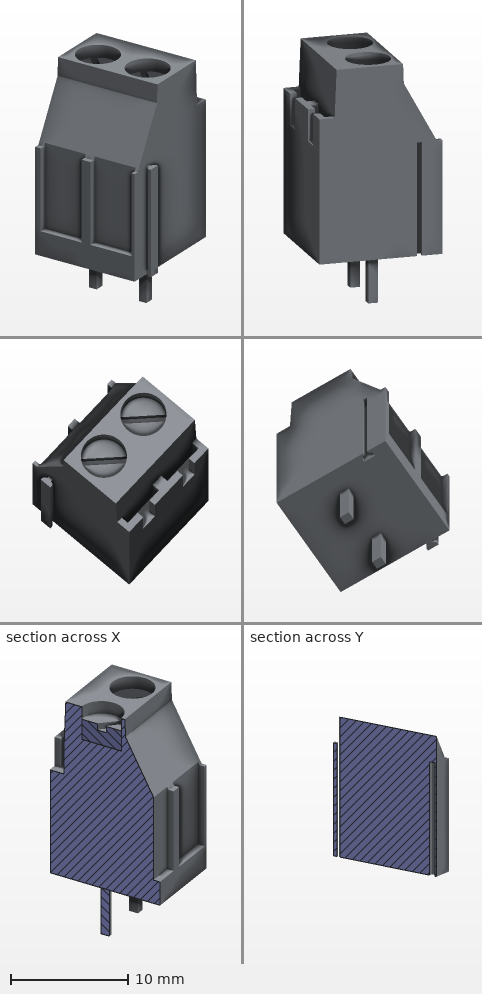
import cadquery as cq


POLE_COUNT = 2
PITCH = 5.08
POLE_CENTRES = [PITCH * (pole + 0.5) for pole in range(POLE_COUNT)]

TOTAL_WIDTH = 10.8
TOTAL_HEIGHT = 21.6
PIN_LENGTH = 4.47
HOUSING_WIDTH = POLE_COUNT * PITCH
HOUSING_DEPTH = 11.0
HOUSING_HEIGHT = TOTAL_HEIGHT - PIN_LENGTH

SHOULDER_DEPTH = 0.5
SHOULDER_Z = 10.07
SLOPE_TOP_Y = 3.45
SLOPE_TOP_Z = 15.4
TOP_FRONT_Y = 3.52
TOP_BACK_Y = 9.45
WALL_FOOT_Y = 9.63
LEDGE_Z = 12.87

RECESS_WIDTH = 4.2
RECESS_LEFT_MARGIN = 0.56
RECESS_DEPTH = 0.65
RECESS_FLOOR_Z = 2.31

POCKET_NECK_WIDTH = 1.5
POCKET_NECK_DEPTH = 0.63
POCKET_WIDE_WIDTH = 3.97
POCKET_FLOOR_Z = SHOULDER_Z

RIB_Y = 2.05
RIB_PROJECTION = TOTAL_WIDTH - HOUSING_WIDTH
GROOVE_DEPTH = 0.71
RIB_NECK_WIDTH = 0.43
RIB_NECK_LENGTH = 0.22
RIB_HEAD_WIDTH = 1.08
RIB_HEAD_RADIUS = 0.28

SCREW_Y = 5.85
SCREW_DIAMETER = 3.93
SCREW_SINK = 1.2
SCREW_HEIGHT = 1.95
SCREW_TOP_Z = HOUSING_HEIGHT - SCREW_SINK
SCREW_BOTTOM_Z = SCREW_TOP_Z - SCREW_HEIGHT
SLOT_WIDTH = 0.6
SLOT_DEPTH = 0.6
SLOT_ANGLE = -45.0

PIN_Y = 5.5
PIN_WIDTH = 0.78
PIN_DEPTH = 0.89


def block(x_min, x_max, y_min, y_max, z_min, z_max):
    """Box given by its limits along each axis."""
    size = (x_max - x_min, y_max - y_min, z_max - z_min)
    return cq.Workplane("XY").box(*size, centered=False).translate((x_min, y_min, z_min))


def housing_body():
    """Side profile extruded over the full width."""
    profile = [
        (0, 0),
        (HOUSING_DEPTH, 0),
        (HOUSING_DEPTH, LEDGE_Z),
        (WALL_FOOT_Y, LEDGE_Z),
        (TOP_BACK_Y, HOUSING_HEIGHT),
        (TOP_FRONT_Y, HOUSING_HEIGHT),
        (SLOPE_TOP_Y, SLOPE_TOP_Z),
        (SHOULDER_DEPTH, SHOULDER_Z),
        (0, SHOULDER_Z),
    ]
    return cq.Workplane("YZ").polyline(profile).close().extrude(HOUSING_WIDTH)


def interlock_bar(root_x, length):
    """Mushroom-shaped bar running up from the underside, reaching in +X from root_x."""
    head_x = root_x + RIB_NECK_LENGTH
    tip_x = root_x + length
    half_neck = RIB_NECK_WIDTH / 2
    half_head = RIB_HEAD_WIDTH / 2
    neck = block(root_x, head_x, RIB_Y - half_neck, RIB_Y + half_neck, 0, SHOULDER_Z)
    head = block(head_x, tip_x, RIB_Y - half_head, RIB_Y + half_head, 0, SHOULDER_Z)
    head = head.edges("|Z and <X").fillet(RIB_HEAD_RADIUS)
    return neck.union(head)


def wire_recess(pole):
    """Recess of one pole, open to the front and up through the slope."""
    left = RECESS_LEFT_MARGIN + pole * PITCH
    return block(left, left + RECESS_WIDTH, 0, RECESS_DEPTH, RECESS_FLOOR_Z, HOUSING_HEIGHT)


def ledge_pocket(centre_x):
    """T-shaped pocket whose neck opens through the back face."""
    half_neck = POCKET_NECK_WIDTH / 2
    half_wide = POCKET_WIDE_WIDTH / 2
    step_y = HOUSING_DEPTH - POCKET_NECK_DEPTH
    neck = block(centre_x - half_neck, centre_x + half_neck, step_y, HOUSING_DEPTH, POCKET_FLOOR_Z, LEDGE_Z)
    wide = block(centre_x - half_wide, centre_x + half_wide, WALL_FOOT_Y, step_y, POCKET_FLOOR_Z, LEDGE_Z)
    return neck.union(wide)


def screw_cylinder(centre_x, top_z):
    """Cylinder on a screw axis, from the screw's underside up to top_z."""
    base = cq.Workplane("XY", origin=(centre_x, SCREW_Y, SCREW_BOTTOM_Z))
    return base.circle(SCREW_DIAMETER / 2).extrude(top_z - SCREW_BOTTOM_Z)


def make_housing():
    """Housing with its rib, groove, recesses, pockets and screw holes."""
    body = housing_body()
    body = body.union(interlock_bar(HOUSING_WIDTH, RIB_PROJECTION))
    body = body.cut(interlock_bar(0, GROOVE_DEPTH))
    for pole, centre_x in enumerate(POLE_CENTRES):
        body = body.cut(wire_recess(pole))
        body = body.cut(ledge_pocket(centre_x))
        body = body.cut(screw_cylinder(centre_x, HOUSING_HEIGHT))
    return body


def make_screw(centre_x):
    """Slotted screw filling the lower part of its hole."""
    slot = (
        cq.Workplane("XY")
        .box(2 * SCREW_DIAMETER, SLOT_WIDTH, SLOT_DEPTH, centered=(True, True, False))
        .rotate((0, 0, 0), (0, 0, 1), SLOT_ANGLE)
        .translate((centre_x, SCREW_Y, SCREW_TOP_Z - SLOT_DEPTH))
    )
    return screw_cylinder(centre_x, SCREW_TOP_Z).cut(slot)


def make_pin(centre_x):
    """Rectangular solder pin hanging from the housing underside."""
    base = cq.Workplane("XY", origin=(centre_x, PIN_Y, 0))
    return base.rect(PIN_WIDTH, PIN_DEPTH).extrude(-PIN_LENGTH)


housing = make_housing()
screws = [make_screw(centre_x) for centre_x in POLE_CENTRES]
pins = [make_pin(centre_x) for centre_x in POLE_CENTRES]

result = cq.Compound.makeCompound(
    [
        housing.val(),
        *[screw.val() for screw in screws],
        *[pin.val() for pin in pins],
    ]
)